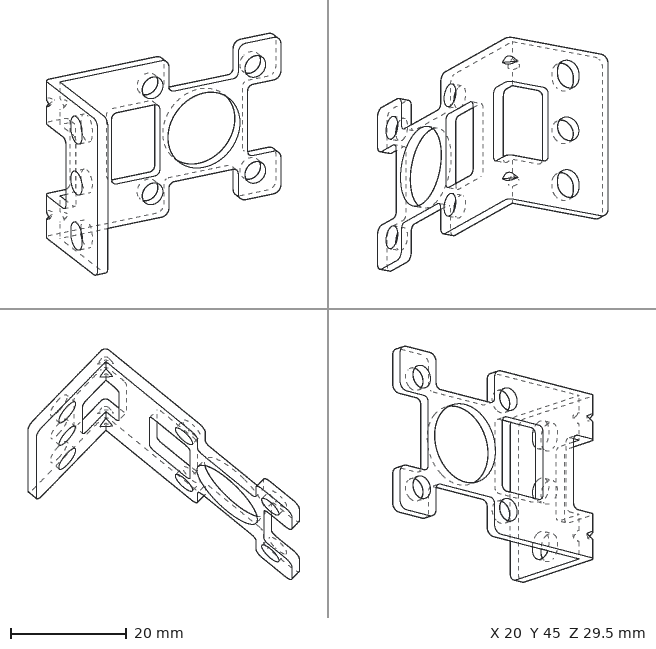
import cadquery as cq
import math

flange_length = 20.0
plate_length = 45.0
height = 29.5
thickness = 2.0
bend_radius = 1.0
corner_radius = 1.5
inner_radius = 1.0

hole_pitch = 20.0
hole_diameter = 4.0
bore_diameter = 14.0
bore_y = 30.0

window_height = 13.4
neck_height = 17.1
neck_start = 23.2
ear_start = 36.68
end_notch_floor = 38.5

window_start = 12.05
window_end = 21.4
bend_opening_y = 5.0
bend_opening_x = 8.0

flange_hole_x = 12.0
flange_hole_width = 4.25
flange_slot_height = 5.0

dent_z = 10.6
dent_reach = 2.0
ridge_crest_radius = 0.55
dent_half_width_per_depth = 0.75


def box(x0, x1, y0, y1, z_size):
    """Box between the given X and Y limits, centred on Z = 0."""
    return (
        cq.Workplane("XY")
        .box(x1 - x0, y1 - y0, z_size)
        .translate(((x0 + x1) / 2, (y0 + y1) / 2, 0))
    )


def plate_cylinder(diameter, y, z):
    """Cutter along X through the plate."""
    return cq.Workplane("YZ").center(y, z).circle(diameter / 2).extrude(thickness)


def make_plate():
    plate = box(0, thickness, 0, plate_length, height)
    plate = plate.edges("|X and >Y").fillet(corner_radius)

    recess_depth = (height - neck_height) / 2
    for side in (1, -1):
        recess = box(0, thickness, neck_start, ear_start, recess_depth)
        recess = recess.translate((0, 0, side * (neck_height + recess_depth) / 2))
        plate = plate.cut(recess)
    edge_z = height / 2
    for y in (neck_start, ear_start):
        for z in (edge_z, -edge_z):
            mouth = cq.selectors.NearestToPointSelector((thickness / 2, y, z))
            plate = plate.edges("|X").edges(mouth).fillet(corner_radius)
    for y in (neck_start, ear_start):
        for z in (neck_height / 2, -neck_height / 2):
            floor = cq.selectors.NearestToPointSelector((thickness / 2, y, z))
            plate = plate.edges("|X").edges(floor).fillet(inner_radius)

    end_notch = box(0, thickness, end_notch_floor, plate_length, window_height)
    end_notch = end_notch.edges("|X and <Y").fillet(inner_radius)
    plate = plate.cut(end_notch)
    for z in (window_height / 2, -window_height / 2):
        mouth = cq.selectors.NearestToPointSelector((thickness / 2, plate_length, z))
        plate = plate.edges("|X").edges(mouth).fillet(corner_radius)

    window = box(0, thickness, window_start, window_end, window_height)
    plate = plate.cut(window.edges("|X").fillet(inner_radius))
    plate = plate.cut(plate_cylinder(bore_diameter, bore_y, 0))
    for y in (bore_y - hole_pitch / 2, bore_y + hole_pitch / 2):
        for z in (-hole_pitch / 2, hole_pitch / 2):
            plate = plate.cut(plate_cylinder(hole_diameter, y, z))
    return plate


def make_flange():
    flange = box(0, flange_length, 0, thickness, height)
    flange = flange.edges("|Y and >X").fillet(corner_radius)

    def hole_plane(z):
        return cq.Workplane("XZ").center(flange_hole_x, z)

    flange = flange.cut(hole_plane(0).circle(flange_hole_width / 2).extrude(-thickness))
    for z in (-hole_pitch / 2, hole_pitch / 2):
        slot = hole_plane(z).slot2D(flange_slot_height, flange_hole_width, 90).extrude(-thickness)
        flange = flange.cut(slot)
    return flange


def bend_opening():
    """L-shaped cutter across the bend with rounded inner corners in both walls."""
    in_plate = box(0, thickness, 0, bend_opening_y, window_height)
    in_plate = in_plate.edges("|X and >Y").fillet(inner_radius)
    in_flange = box(0, bend_opening_x, 0, thickness, window_height)
    in_flange = in_flange.edges("|Y and >X").fillet(inner_radius)
    return in_plate.union(in_flange)


def bend_wedge(z):
    """V prism running at 45 degrees across the bend.

    Its crest joins (dent_reach, 0) to (0, dent_reach); it widens toward the outer corner.
    """
    depth = dent_reach / math.sqrt(2)
    half_width = depth * dent_half_width_per_depth
    across = cq.Plane(origin=(0, 0, z), xDir=(1, 1, 0), normal=(1, -1, 0))
    return (
        cq.Workplane(across)
        .polyline([(0, -half_width), (depth, 0), (0, half_width)])
        .close()
        .extrude(dent_reach, both=True)
    )


def inside_ridge(z):
    """Ridge filling the inner corner of the bend."""
    ridge_limit = thickness + dent_reach
    inner_corner = box(0, ridge_limit, 0, ridge_limit, height)
    wedge = bend_wedge(z)
    crest = cq.selectors.NearestToPointSelector((dent_reach / 2, dent_reach / 2, z))
    rounded_wedge = wedge.edges(crest).fillet(ridge_crest_radius)
    ridge = rounded_wedge.translate((thickness, thickness, 0))
    return ridge.intersect(inner_corner)


bracket = make_plate().union(make_flange())
bracket = bracket.edges("|Z and <X and <Y").fillet(bend_radius)
bracket = bracket.cut(bend_opening())
for z in (-dent_z, dent_z):
    bracket = bracket.union(inside_ridge(z))
    bracket = bracket.cut(bend_wedge(z))

result = bracket